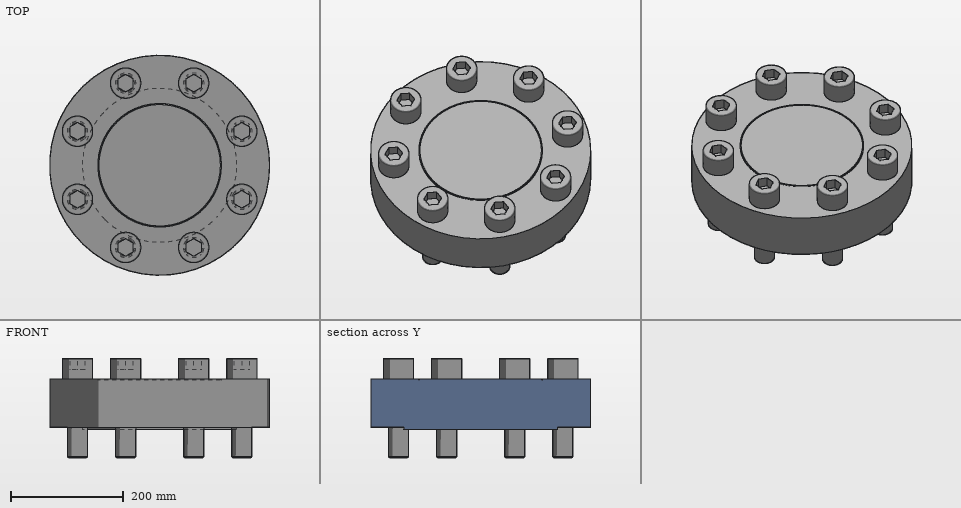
import cadquery as cq
import math

flange_diameter = 390.0
flange_thickness = 86.0
raised_face_diameter = 273.0
raised_face_height = 4.0

plug_diameter = 219.1
plug_chamfer = 2.0

bolt_count = 8
bolt_circle_diameter = 315.0
bolt_diameter = 36.0
bolt_length = 140.0
bolt_tip_chamfer = 2.5
head_diameter = 54.0
head_height = bolt_diameter
head_edge_radius = 1.0
socket_across_flats = 27.0
socket_depth = 19.0

flange_bottom = raised_face_height
flange_top = flange_bottom + flange_thickness


def make_flange():
    raised_face = cq.Workplane("XY").circle(raised_face_diameter / 2).extrude(raised_face_height)
    disc = (
        cq.Workplane("XY", origin=(0, 0, flange_bottom))
        .circle(flange_diameter / 2)
        .extrude(flange_thickness)
    )
    return disc.union(raised_face)


def make_groove():
    """Ring cutter with a vertical outer wall that leaves a 45 degree chamfer on the plug."""
    outer_radius = plug_diameter / 2
    inner_radius = outer_radius - plug_chamfer
    return (
        cq.Workplane("XZ")
        .moveTo(outer_radius, flange_top)
        .lineTo(outer_radius, flange_top - plug_chamfer)
        .lineTo(inner_radius, flange_top)
        .close()
        .revolve(360, (0, 0, 0), (0, 1, 0))
    )


def make_bolt():
    """Bolt standing on Z = 0 at the underside of its head, shank pointing down."""
    head = (
        cq.Workplane("XY")
        .circle(head_diameter / 2)
        .extrude(head_height)
        .faces(">Z")
        .edges()
        .fillet(head_edge_radius)
    )
    shank = (
        cq.Workplane("XY")
        .circle(bolt_diameter / 2)
        .extrude(-bolt_length)
        .faces("<Z")
        .edges()
        .chamfer(bolt_tip_chamfer)
    )
    socket_across_corners = socket_across_flats / math.cos(math.pi / 6)
    socket = (
        cq.Workplane("XY", origin=(0, 0, head_height - socket_depth))
        .transformed(rotate=(0, 0, 90))
        .polygon(6, socket_across_corners)
        .extrude(socket_depth)
    )
    return head.union(shank).cut(socket)


def bolt_positions():
    pitch = 2 * math.pi / bolt_count
    radius = bolt_circle_diameter / 2
    angles = [(index + 0.5) * pitch for index in range(bolt_count)]
    return [(radius * math.cos(angle), radius * math.sin(angle)) for angle in angles]


result = make_flange().cut(make_groove())
for x, y in bolt_positions():
    result = result.union(make_bolt().translate((x, y, flange_top)))